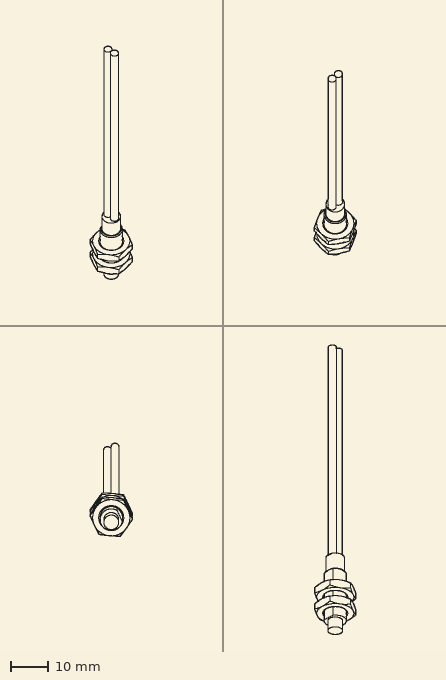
import cadquery as cq
import math

body_bottom = 3.1
body_top = 18.1
collar_top = 23.0
overall_length = 89.0

tip_diameter = 4.0
body_diameter = 6.0
body_flat_offset = 2.5
body_top_chamfer = 0.3
collar_diameter = 2 * body_flat_offset

cable_diameter = 2.2
cable_spacing = 2.25

nut_sides = 6
nut_width = 10.0
nut_thickness = 2.5
nut_bottoms = (5.5, 10.6)
nut_bevel_angle = 30.0
nut_face_diameter = nut_width
nut_countersink_diameter = 6.75


def rod(diameter, bottom, top):
    """Upright cylinder on the Z axis."""
    return cq.Workplane("XY").workplane(offset=bottom).circle(diameter / 2).extrude(top - bottom)


def make_body():
    """Round body with a chamfered top rim and one full-length flat facing -X."""
    round_body = rod(body_diameter, body_bottom, body_top).faces(">Z").chamfer(body_top_chamfer)
    beyond_flat = cq.Workplane("XY").box(
        body_diameter, 2 * body_diameter, 2 * body_top, centered=(False, True, True)
    )
    return round_body.cut(beyond_flat.translate((-body_flat_offset - body_diameter, 0, 0)))


def make_nut(bottom):
    """Hexagon nut with flats facing +X and -X, corners bevelled and hole countersunk at both ends."""
    half_side_angle = 180 / nut_sides
    corner_diameter = nut_width / math.cos(math.radians(half_side_angle))
    hexagon = (
        cq.Workplane("XY")
        .polygon(nut_sides, corner_diameter)
        .extrude(nut_thickness)
        .rotate((0, 0, 0), (0, 0, 1), half_side_angle)
    )
    hole_radius = body_diameter / 2
    sink_radius = nut_countersink_diameter / 2
    sink_depth = sink_radius - hole_radius
    face_radius = nut_face_diameter / 2
    rim_radius = corner_diameter / 2
    bevel_height = (rim_radius - face_radius) * math.tan(math.radians(nut_bevel_angle))
    turned_profile = (
        cq.Workplane("XZ")
        .moveTo(hole_radius, sink_depth)
        .lineTo(sink_radius, 0)
        .lineTo(face_radius, 0)
        .lineTo(rim_radius, bevel_height)
        .lineTo(rim_radius, nut_thickness - bevel_height)
        .lineTo(face_radius, nut_thickness)
        .lineTo(sink_radius, nut_thickness)
        .lineTo(hole_radius, nut_thickness - sink_depth)
        .close()
        .revolve(360, (0, 0, 0), (0, 1, 0))
    )
    return hexagon.intersect(turned_profile).translate((0, 0, bottom))


def make_cables():
    """Two parallel round cables with a slight gap between them."""
    half_spacing = cable_spacing / 2
    return (
        cq.Workplane("XY")
        .workplane(offset=collar_top)
        .pushPoints([(-half_spacing, 0), (half_spacing, 0)])
        .circle(cable_diameter / 2)
        .extrude(overall_length - collar_top)
    )


tip = rod(tip_diameter, 0, body_bottom)
collar = rod(collar_diameter, body_top, collar_top)
result = make_body().union(tip).union(collar).union(make_cables())
for nut_bottom in nut_bottoms:
    result = result.union(make_nut(nut_bottom))